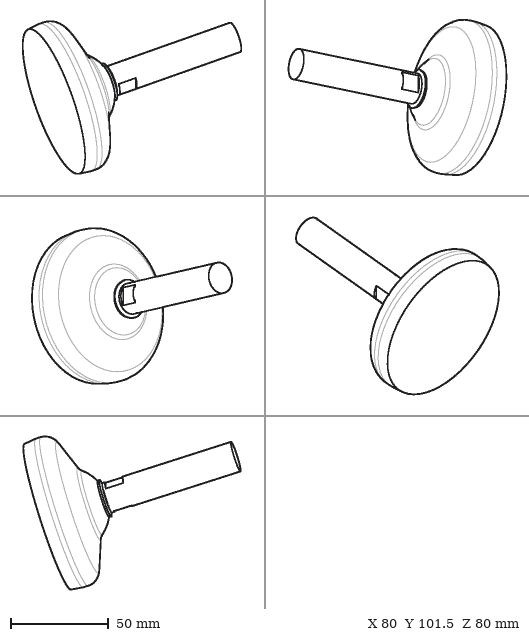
import cadquery as cq
import math


foot_radius = 40.0
sole_radius = 39.2
taper_height = 6.3
shoulder_height = 14.1
cone_angle = 21.4
rim_fillet = 7.5

dome_radius = 22.1
dome_center_height = 10.1
dome_top_height = 30.0
hub_fillet = 5.0

lip_root_radius = 9.4
lip_radius = 10.0
lip_edge_height = 31.1
lip_top_radius = 7.3
lip_top_height = 31.7

total_height = 101.5
stud_radius = 8.0
stud_shoulder_height = 32.0
neck_radius = 5.5
neck_bottom_height = 20.0

flat_width = 13.0
flat_bottom_height = 33.5
flat_length = 9.5


def dome_radius_at(height):
    return math.sqrt(dome_radius**2 - (height - dome_center_height) ** 2)


def cone_dome_junction():
    """Return the (radius, height) where the straight cone meets the dome."""
    angle = math.radians(cone_angle)
    rise = shoulder_height - dome_center_height
    along = foot_radius * math.cos(angle) - rise * math.sin(angle)
    offset = foot_radius * math.sin(angle) + rise * math.cos(angle)
    travel = along - math.sqrt(dome_radius**2 - offset**2)
    return (
        foot_radius - travel * math.cos(angle),
        shoulder_height + travel * math.sin(angle),
    )


def cylinder_along_y(radius, bottom, top):
    return cq.Workplane("ZX", origin=(0, bottom, 0)).circle(radius).extrude(top - bottom)


def circle_edge_at(height):
    """Select the circular edges lying in the plane at this height."""
    margin = 0.01
    reach = 2 * foot_radius
    return cq.selectors.BoxSelector(
        (-reach, height - margin, -reach), (reach, height + margin, reach), boundingbox=True
    )


def make_foot():
    junction_radius, junction_height = cone_dome_junction()
    dome_middle_height = (junction_height + dome_top_height) / 2
    body = (
        cq.Workplane("ZY")
        .moveTo(0, 0)
        .lineTo(sole_radius, 0)
        .lineTo(foot_radius, taper_height)
        .lineTo(foot_radius, shoulder_height)
        .lineTo(junction_radius, junction_height)
        .threePointArc(
            (dome_radius_at(dome_middle_height), dome_middle_height),
            (dome_radius_at(dome_top_height), dome_top_height),
        )
        .lineTo(lip_root_radius, dome_top_height)
        .lineTo(lip_radius, lip_edge_height)
        .lineTo(lip_top_radius, lip_top_height)
        .lineTo(0, lip_top_height)
        .close()
        .revolve(360, (0, 0, 0), (0, 1, 0))
    )
    body = body.edges(circle_edge_at(shoulder_height)).fillet(rim_fillet)
    body = body.edges(circle_edge_at(junction_height)).fillet(hub_fillet)
    socket = cylinder_along_y(neck_radius, neck_bottom_height, lip_top_height)
    return body.cut(socket)


def make_stud():
    shank = cylinder_along_y(stud_radius, stud_shoulder_height, total_height)
    neck = cylinder_along_y(neck_radius, neck_bottom_height, stud_shoulder_height)
    body = shank.union(neck)
    flat_depth = stud_radius - flat_width / 2
    for side in (-1, 1):
        flat_cut = cq.Workplane("XY").box(flat_depth, flat_length, 2 * stud_radius).translate(
            (side * (flat_width + flat_depth) / 2, flat_bottom_height + flat_length / 2, 0)
        )
        body = body.cut(flat_cut)
    return body


foot = make_foot()
stud = make_stud()

result = cq.Compound.makeCompound([*foot.solids().vals(), *stud.solids().vals()])